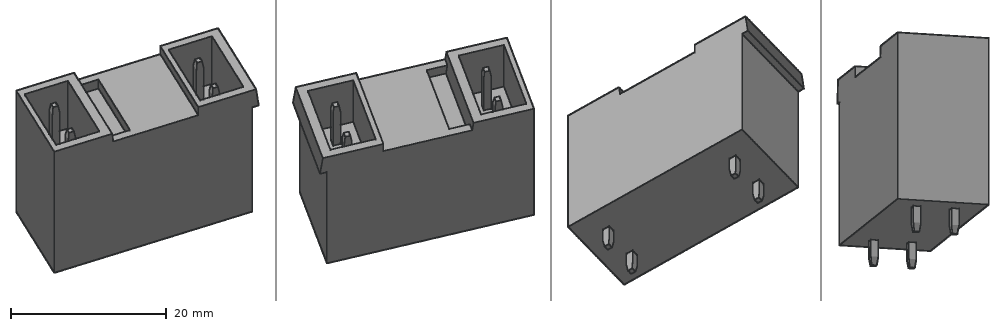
import cadquery as cq
import math

WIDTH = 12.15
HEIGHT = 21.95
BODY_LENGTH = 27.75
TOTAL_LENGTH = 28.68

PORT_PITCH = 20.2
PORT_LENGTH = 8.12
PORT_PLACES = [0, PORT_PITCH]
DECK_DROP = 1.45
DECK_Z = HEIGHT - DECK_DROP

LIP_DROP = 3.1
LIP_Z = HEIGHT - LIP_DROP
LIP_REACH = TOTAL_LENGTH - (PORT_PITCH + PORT_LENGTH)
LIP_FOOT_Y = PORT_LENGTH + LIP_REACH * DECK_DROP / LIP_DROP

POCKET_WIDTH = 10.07
POCKET_LENGTH = 6.08
POCKET_FRONT = 0.72
POCKET_DEPTH = 8.6

SLOT_BACK = 11.07

PIN_SIZE = 1.0
PIN_TIP_SIZE = 0.7
PIN_TAPER = 1.1
PIN_PITCH = 5.08
PIN_TOP_DROP = 0.9
PIN_BOTTOM_Z = -3.27
PIN_TOP_Z = HEIGHT - PIN_TOP_DROP
PIN_Y = 3.81


def box(width, y_min, y_max, z_min, z_max):
    """Box centred on X between the given Y and Z limits."""
    return (
        cq.Workplane("XY")
        .box(width, y_max - y_min, z_max - z_min, centered=(True, False, False))
        .translate((0, y_min, z_min))
    )


def side_extrusion(points, width):
    """Prism of the given (Y, Z) outline, centred on X."""
    return cq.Workplane("YZ").polyline(points).close().extrude(width / 2, both=True)


def make_block():
    """Housing block with the recessed deck and the rear latch lip."""
    outline = [
        (0, 0),
        (BODY_LENGTH, 0),
        (BODY_LENGTH, LIP_Z),
        (TOTAL_LENGTH, LIP_Z),
        (PORT_PITCH + PORT_LENGTH, HEIGHT),
        (PORT_PITCH, HEIGHT),
        (PORT_PITCH, DECK_Z),
        (LIP_FOOT_Y, DECK_Z),
        (PORT_LENGTH, HEIGHT),
        (0, HEIGHT),
    ]
    return side_extrusion(outline, WIDTH)


def make_latch_slot():
    """Slot whose front wall continues the slope of the front port's lip."""
    outline = [
        (LIP_FOOT_Y, DECK_Z),
        (SLOT_BACK, DECK_Z),
        (SLOT_BACK, LIP_Z),
        (PORT_LENGTH + LIP_REACH, LIP_Z),
    ]
    return side_extrusion(outline, POCKET_WIDTH)


def make_pocket(port_y):
    """Plug pocket of the port that starts at port_y."""
    front = port_y + POCKET_FRONT
    return box(POCKET_WIDTH, front, front + POCKET_LENGTH, HEIGHT - POCKET_DEPTH, HEIGHT)


def make_pin(x, y):
    """Square pin with a tapered tip at each end."""
    tip_angle = math.degrees(math.atan((PIN_SIZE - PIN_TIP_SIZE) / 2 / PIN_TAPER))
    shank_bottom_z = PIN_BOTTOM_Z + PIN_TAPER
    shank_top_z = PIN_TOP_Z - PIN_TAPER
    shank = box(PIN_SIZE, -PIN_SIZE / 2, PIN_SIZE / 2, shank_bottom_z, shank_top_z)
    tip = cq.Workplane("XY").rect(PIN_SIZE, PIN_SIZE).extrude(PIN_TAPER, taper=tip_angle)
    top_tip = tip.translate((0, 0, shank_top_z))
    bottom_tip = tip.mirror("XY").translate((0, 0, shank_bottom_z))
    return shank.union(top_tip).union(bottom_tip).translate((x, y, 0))


def make_housing(pins):
    """Housing with its latch slot, both plug pockets and a fitted hole for every pin."""
    housing = make_block().cut(make_latch_slot())
    for port_y in PORT_PLACES:
        housing = housing.cut(make_pocket(port_y))
    for pin in pins:
        housing = housing.cut(pin)
    return housing


pins = []
for port_y in PORT_PLACES:
    for pin_x in (-PIN_PITCH / 2, PIN_PITCH / 2):
        pins.append(make_pin(pin_x, port_y + PIN_Y))

housing = make_housing(pins)

result = cq.Compound.makeCompound([housing.val(), *[pin.val() for pin in pins]])